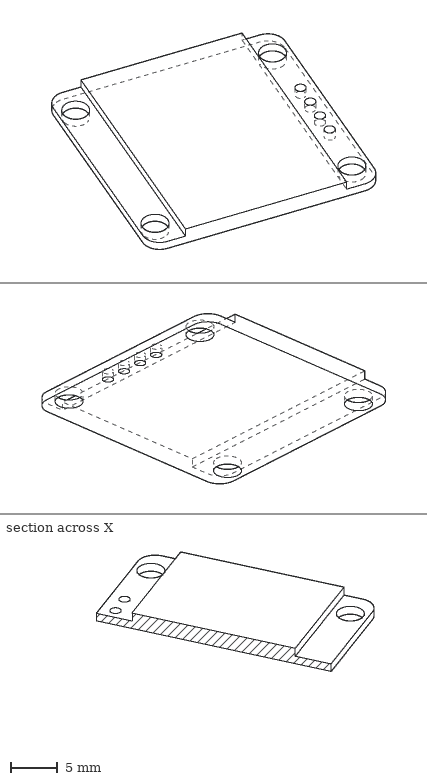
import cadquery as cq

board_side = 27.3
board_thickness = 1.0
corner_radius = 2.0

glass_length = 19.0
glass_thickness = 1.0

mount_diameter = 3.0
mount_spacing_x = 20.7
mount_spacing_y = 23.2

pin_count = 4
pin_diameter = 1.2
pin_pitch = 2.54
pin_edge_distance = 1.7
pin_row_y = board_side / 2 - pin_edge_distance


def make_board():
    """Rounded plate standing on Z = 0, with its mounting and pin holes."""
    plate = (
        cq.Workplane("XY")
        .rect(board_side, board_side)
        .extrude(board_thickness)
        .edges("|Z")
        .fillet(corner_radius)
    )
    mount_holes = (
        cq.Workplane("XY")
        .rarray(mount_spacing_x, mount_spacing_y, 2, 2)
        .circle(mount_diameter / 2)
        .extrude(board_thickness)
    )
    pin_holes = (
        cq.Workplane("XY")
        .center(0, pin_row_y)
        .rarray(pin_pitch, 1, pin_count, 1)
        .circle(pin_diameter / 2)
        .extrude(board_thickness)
    )
    return plate.cut(mount_holes).cut(pin_holes)


def make_glass():
    """Rectangular display slab resting on top of the board."""
    return (
        cq.Workplane("XY")
        .workplane(offset=board_thickness)
        .rect(board_side, glass_length)
        .extrude(glass_thickness)
    )


result = make_board().union(make_glass())